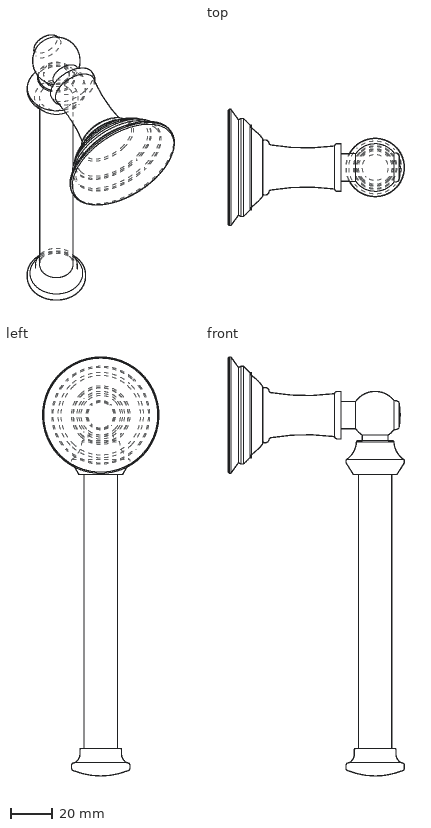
import cadquery as cq
import math

overall_height = 203.3
bar_x = 71.3
bar_radius = 8.1

rosette_radius = 28.3
rosette_face_radius = 27.6
rosette_rim_start = 0.6
rosette_rim_end = 1.5
bead_start = 5.0
bead_start_radius = 23.2
bead_crown = 6.3
bead_end = 7.5
bead_radius = 23.8
step_start = 10.5
step_end = 11.4
step_radius = 20.7
flank_start_radius = 19.3
flank_end = 16.7
flank_end_radius = 14.2
flank_bulge = 0.5

wall_collar_start = 17.0
wall_collar_start_radius = 13.2
wall_collar_crown = 18.3
wall_collar_crown_radius = 13.5
wall_collar_end = 20.0
wall_collar_end_radius = 12.0
wall_cove = 20.3
wall_cove_radius = 11.2
sleeve_start = 21.0
sleeve_start_radius = 11.0
sleeve_waist = 39.0
sleeve_waist_radius = 9.5
sleeve_end = 50.5
sleeve_end_radius = 10.4
ball_collar_start = 51.6
ball_collar_start_radius = 10.5
ball_collar_round = 52.0
ball_collar_round_radius = 11.2
ball_collar_crown = 52.8
ball_collar_end = 54.9
ball_collar_radius = 11.5

arm_pin_radius = 6.7
ball_radius = 11.5
button_radius = 7.1
button_round = bar_x + 10.5
button_round_radius = 7.0
button_edge = bar_x + 11.5
button_edge_radius = 6.3
button_tip = bar_x + 12.2

drop_pin_radius = 6.3
bell_top = -12.5
bell_top_radius = 8.7
bell_neck = -13.0
bell_neck_radius = 9.1
bell_waist = -17.5
bell_waist_radius = 10.4
bell_rim_top = -21.5
bell_rim_bottom = -23.4
bell_rim_radius = 14.2
bell_rim_relief = 0.2
bell_bottom = -28.9
bell_bottom_radius = 10.5

foot_tip = rosette_radius - overall_height
ring_top = -161.5
ring_bottom = -163.8
ring_radius = 10.2
ring_round = 0.6
foot_waist = -166.3
foot_waist_radius = 10.5
foot_shoulder = -168.0
foot_shoulder_radius = 12.0
foot_rim_top = -168.5
foot_rim_bottom = -172.5
foot_rim_radius = 14.2
foot_rim_round = 1.5


def ball_half_chord(radius):
    """Distance from the ball centre to where a coaxial pin of this radius leaves the ball."""
    return math.sqrt(ball_radius**2 - radius**2)


def dome_radius(rim_radius, rise):
    """Radius of a spherical dome with the given rim radius and rise."""
    return (rim_radius**2 + rise**2) / (2 * rise)


def make_arm():
    """Revolve the rosette, sleeve, arm pin, ball and button about the X axis."""
    flank_middle_radius = (flank_start_radius + flank_end_radius) / 2 + flank_bulge
    profile = (
        cq.Workplane("XZ")
        .lineTo(0, rosette_face_radius)
        .lineTo(rosette_rim_start, rosette_radius)
        .lineTo(rosette_rim_end, rosette_radius)
        .lineTo(bead_start, bead_start_radius)
        .lineTo(bead_crown, bead_radius)
        .lineTo(bead_end, bead_radius)
        .lineTo(step_start, step_radius)
        .lineTo(step_end, step_radius)
        .lineTo(step_end, flank_start_radius)
        .threePointArc(((step_end + flank_end) / 2, flank_middle_radius), (flank_end, flank_end_radius))
        .lineTo(wall_collar_start, wall_collar_start_radius)
        .threePointArc(
            (wall_collar_crown, wall_collar_crown_radius),
            (wall_collar_end, wall_collar_end_radius),
        )
        .threePointArc((wall_cove, wall_cove_radius), (sleeve_start, sleeve_start_radius))
        .threePointArc((sleeve_waist, sleeve_waist_radius), (sleeve_end, sleeve_end_radius))
        .lineTo(ball_collar_start, ball_collar_start_radius)
        .threePointArc(
            (ball_collar_round, ball_collar_round_radius),
            (ball_collar_crown, ball_collar_radius),
        )
        .lineTo(ball_collar_end, ball_collar_radius)
        .lineTo(ball_collar_end, arm_pin_radius)
        .lineTo(bar_x - ball_half_chord(arm_pin_radius), arm_pin_radius)
        .threePointArc((bar_x, ball_radius), (bar_x + ball_half_chord(button_radius), button_radius))
        .threePointArc((button_round, button_round_radius), (button_edge, button_edge_radius))
        .radiusArc((button_tip, 0), dome_radius(button_edge_radius, button_tip - button_edge))
        .close()
    )
    return profile.revolve(360, (0, 0, 0), (1, 0, 0))


def make_bar():
    """Revolve the drop pin, bell, bar and foot about the vertical bar axis."""
    ring_core = ring_radius - ring_round
    rim_core = foot_rim_radius - foot_rim_round
    upper_rim = foot_rim_top - foot_rim_round
    lower_rim = foot_rim_bottom + foot_rim_round
    profile = (
        cq.Workplane("XZ", origin=(bar_x, 0, 0))
        .lineTo(drop_pin_radius, 0)
        .lineTo(drop_pin_radius, bell_top)
        .lineTo(bell_top_radius, bell_top)
        .lineTo(bell_neck_radius, bell_neck)
        .threePointArc(
            (bell_waist_radius, bell_waist),
            (bell_rim_radius - bell_rim_relief, bell_rim_top),
        )
        .threePointArc(
            (bell_rim_radius, (bell_rim_top + bell_rim_bottom) / 2),
            (bell_rim_radius - bell_rim_relief, bell_rim_bottom),
        )
        .lineTo(bell_bottom_radius, bell_bottom)
        .lineTo(bar_radius, bell_bottom)
        .lineTo(bar_radius, ring_top)
        .lineTo(ring_core, ring_top)
        .radiusArc((ring_radius, ring_top - ring_round), ring_round)
        .lineTo(ring_radius, ring_bottom)
        .threePointArc((foot_waist_radius, foot_waist), (foot_shoulder_radius, foot_shoulder))
        .lineTo(rim_core, foot_rim_top)
        .radiusArc((foot_rim_radius, upper_rim), foot_rim_round)
        .lineTo(foot_rim_radius, lower_rim)
        .radiusArc((rim_core, foot_rim_bottom), foot_rim_round)
        .radiusArc((0, foot_tip), dome_radius(rim_core, foot_rim_bottom - foot_tip))
        .close()
    )
    return profile.revolve(360, (0, 0, 0), (0, 1, 0))


result = make_arm().union(make_bar())